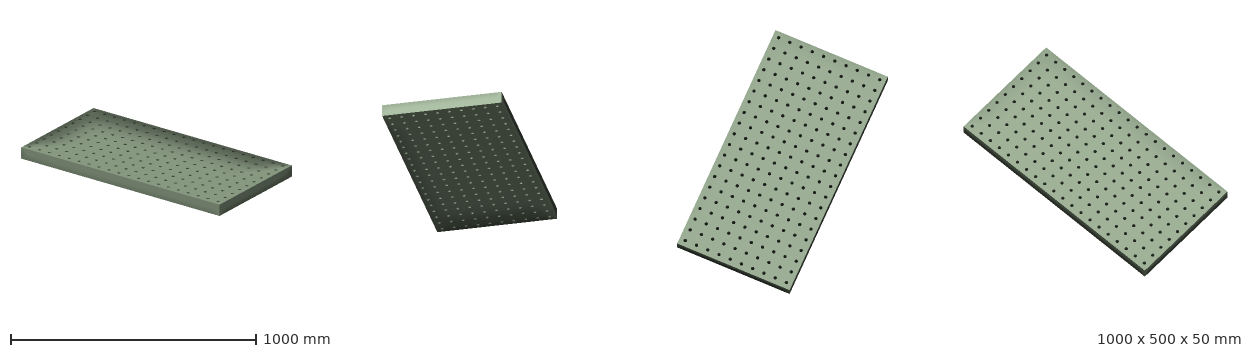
import cadquery as cq

length = 1000.0
width = length / 2
thickness = 50.0

hole_diameter = 14.0
hole_pitch = 50.0
columns = round(length / hole_pitch)
rows = round(width / hole_pitch)

plate = cq.Workplane("XY").box(length, width, thickness)

result = (
    plate.faces(">Z")
    .workplane()
    .rarray(hole_pitch, hole_pitch, columns, rows)
    .hole(hole_diameter)
)